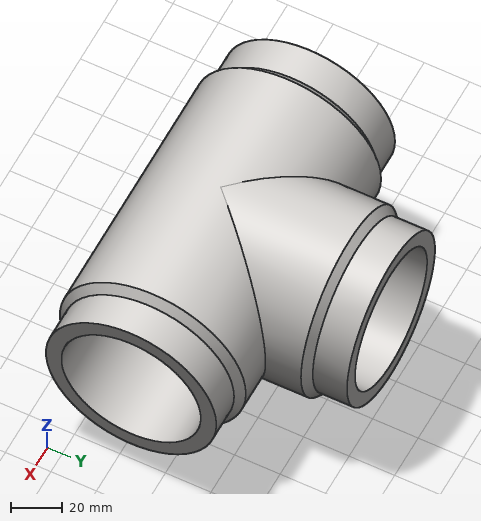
import cadquery as cq

run_length = 152.0
branch_reach = 75.0
body_diameter = 81.8
spigot_diameter = 75.0
bore_diameter = 61.3
spigot_length = 15.0

shoulder_chamfer = (body_diameter - spigot_diameter) / 2


def rod(plane, diameter, length):
    """Solid cylinder from the tee centre along the plane normal."""
    return cq.Workplane(plane).circle(diameter / 2).extrude(length)


def arm(plane, reach):
    """Thick body with a chamfered shoulder and a thinner end spigot."""
    body = rod(plane, body_diameter, reach - spigot_length)
    body = body.faces(cq.DirectionMinMaxSelector(plane.zDir)).chamfer(shoulder_chamfer)
    return body.union(rod(plane, spigot_diameter, reach))


right_plane = cq.Plane(origin=(0, 0, 0), xDir=(0, 1, 0), normal=(1, 0, 0))
left_plane = cq.Plane(origin=(0, 0, 0), xDir=(0, 1, 0), normal=(-1, 0, 0))
branch_plane = cq.Plane(origin=(0, 0, 0), xDir=(1, 0, 0), normal=(0, 1, 0))

arms = [
    (right_plane, run_length / 2),
    (left_plane, run_length / 2),
    (branch_plane, branch_reach),
]

tee = cq.Workplane("XY")
for plane, reach in arms:
    tee = tee.union(arm(plane, reach))

for plane, reach in arms:
    tee = tee.cut(rod(plane, bore_diameter, reach))

result = tee.clean()